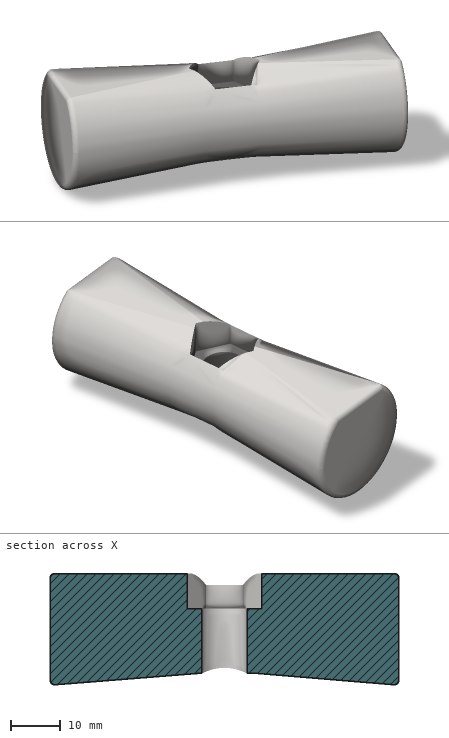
import cadquery as cq
import math

length = 70.0
end_radius = 12.5
waist_radius = 10.0
flat_height = waist_radius
edge_radius = 1.0

hole_diameter = 9.0
hex_across_flats = 12.9
hex_floor_height = 3.0

half_length = length / 2
hex_across_corners = hex_across_flats / math.cos(math.pi / 6)


def make_handle():
    """Waisted body of revolution, flattened on top, with rounded end edges."""
    body = (
        cq.Workplane("XY")
        .moveTo(0, -half_length)
        .lineTo(end_radius, -half_length)
        .threePointArc((waist_radius, 0), (end_radius, half_length))
        .lineTo(0, half_length)
        .close()
        .revolve(360, (0, 0, 0), (0, 1, 0))
    )
    above_flat = (
        cq.Workplane("XY")
        .workplane(offset=flat_height)
        .rect(2 * end_radius, length)
        .extrude(end_radius)
    )
    return body.cut(above_flat).faces("<Y or >Y").edges().fillet(edge_radius)


def make_nut_pocket():
    """Hexagonal prism with corners pointing along the handle."""
    return (
        cq.Workplane("XY")
        .workplane(offset=hex_floor_height)
        .polygon(6, hex_across_corners)
        .extrude(end_radius)
        .rotate((0, 0, 0), (0, 0, 1), 30)
    )


def make_cross_hole():
    """Vertical through hole in the middle of the handle."""
    return (
        cq.Workplane("XY")
        .circle(hole_diameter / 2)
        .extrude(end_radius, both=True)
    )


result = make_handle().cut(make_nut_pocket()).cut(make_cross_hole())